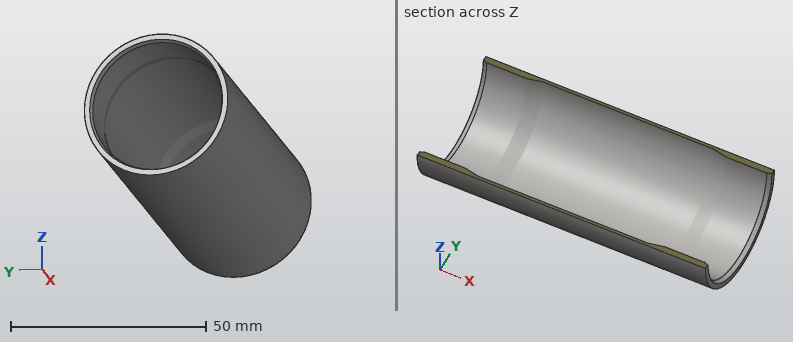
import cadquery as cq

length = 83.5
outer_radius = 19.0

mouth_radius = 17.6
end_bore_radius = 17.1
middle_bore_radius = 18.0

mouth_length = 1.25
end_bore_length = 11.7
taper_length = 4.2

half_length = length / 2
end_bore_start = half_length - mouth_length
taper_start = end_bore_start - end_bore_length
middle_bore_end = taper_start - taper_length

inner_outline = [
    (half_length, mouth_radius),
    (end_bore_start, end_bore_radius),
    (taper_start, end_bore_radius),
    (middle_bore_end, middle_bore_radius),
]

mirrored_outline = [(-x, radius) for x, radius in reversed(inner_outline)]
outer_outline = [(-half_length, outer_radius), (half_length, outer_radius)]

result = (
    cq.Workplane("XY")
    .polyline(outer_outline + inner_outline + mirrored_outline)
    .close()
    .revolve(360, (0, 0, 0), (1, 0, 0))
)